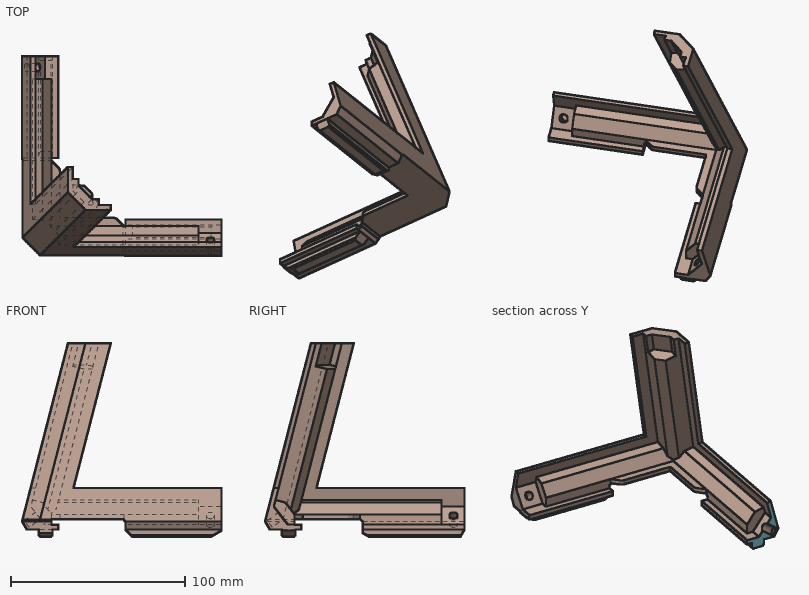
import cadquery as cq
import math

ARM_LENGTH = 114.56
TOTAL_HEIGHT = 111.15
LEAN = 14.45
BEVEL_ANGLE = (90 + LEAN) / 2

WALL_FOOT_Z = 8.9
ARM_TOP_Z = 28.1
WALL_THICKNESS = 2.9
FLANGE_BOTTOM_Z = 4.07
FLANGE_TOP_Z = 7.0
FLANGE_REACH = 20.9
BLOCK_REACH = 17.0
BEVEL_RUN = 5.3
UNDERCUT_ANGLE = 30

RECESS_LENGTH = 13.1
RECESS_FLOOR_Y = 13.1
HOLE_DIAMETER = 4.7
HOLE_DEPTH = 8.0
HOLE_FROM_END = 6.4

CORNER_BOTTOM_Z = 10.0
FOOT_LEAD_IN = 1.3
FOOT_START_X = 59.3
FOOT_START_Y = 56.05

RAIL_OUTER = 9.6
RAIL_WIDTH = 8.0
RAIL_EDGE_CHAMFER = 1.0
RAIL_SLOPE = 30
X_RAIL_NOSE_Z = 3.5
Y_RAIL_HEEL_Z = 2.15

LEG_FLAT = 10.1
LEG_WALL_LENGTH = 24.7
LEG_BLOCK_REACH = 17.8
LEG_BEVEL_RUN = 4.7
LEG_RIDGE_WIDTH = 3.3
LEG_RIDGE_HEIGHT = 3.9
LEG_RECESS_DEPTH = 13.2

WEB_REACH = 21.9
WEB_X_END = 58.6
WEB_Y_END = 54.6
WEB_CORNER_RADIUS = 3.5

LEAN_SLOPE = math.tan(math.radians(LEAN))
BEVEL_SLOPE = math.tan(math.radians(BEVEL_ANGLE))
RAIL_GRADE = math.tan(math.radians(RAIL_SLOPE))
LEG_SHIFT = LEAN_SLOPE * (TOTAL_HEIGHT - WALL_FOOT_Z)
OVERLAP = 1.0


def wall_outer(z):
    return LEAN_SLOPE * (z - WALL_FOOT_Z)


def wall_inner(z):
    return wall_outer(z) + WALL_THICKNESS


ROOT_Y = wall_inner(FLANGE_TOP_Z)


def on_inner_wall(distance):
    """Point (y, z) up the wall's inner face from the root edge."""
    lean = math.radians(LEAN)
    return (ROOT_Y + distance * math.sin(lean), FLANGE_TOP_Z + distance * math.cos(lean))


STEP_ROOT = on_inner_wall(BLOCK_REACH - ROOT_Y)
STEP_Y = BLOCK_REACH - BEVEL_RUN
STEP_EDGE = (STEP_Y, STEP_ROOT[1] - LEAN_SLOPE * (STEP_Y - STEP_ROOT[0]))
BEVEL_FOOT = (BLOCK_REACH, STEP_EDGE[1] - BEVEL_SLOPE * BEVEL_RUN)
RECESS_TOP = on_inner_wall(RECESS_FLOOR_Y - ROOT_Y)
RECESS_FLOOR = (RECESS_FLOOR_Y, FLANGE_TOP_Z)


def along_x(points, start, end):
    """Prism of a (y, z) outline between two X positions."""
    return cq.Workplane("YZ", origin=(start, 0, 0)).polyline(points).close().extrude(end - start)


def along_y(points, start, end):
    """Prism of an (x, z) outline between two Y positions."""
    return cq.Workplane("XZ", origin=(0, end, 0)).polyline(points).close().extrude(end - start)


def along_leg(points, bottom):
    """Prism along the leg up to its top; the (x, y) outline is relative to the walls' meeting edge."""
    foot = LEAN_SLOPE * (bottom - WALL_FOOT_Z)
    rise = TOTAL_HEIGHT - bottom
    wire = cq.Wire.makePolygon([cq.Vector(foot + x, foot + y, bottom) for x, y in points], close=True)
    direction = cq.Vector(LEAN_SLOPE * rise, LEAN_SLOPE * rise, rise)
    return cq.Workplane(cq.Solid.extrudeLinear(cq.Face.makeFromWires(wire), direction))


def mirrored(points):
    """Half outline completed by its reflection across the x = y line."""
    return points + [(y, x) for x, y in reversed(points)]


def swap_xy(body):
    return body.mirror("XZ").rotate((0, 0, 0), (0, 0, 1), 90)


def make_arm_bar():
    undercut = (WALL_FOOT_Z - FLANGE_BOTTOM_Z) * math.tan(math.radians(UNDERCUT_ANGLE))
    return along_x(
        [
            (0, WALL_FOOT_Z),
            (wall_outer(ARM_TOP_Z), ARM_TOP_Z),
            (wall_inner(ARM_TOP_Z), ARM_TOP_Z),
            STEP_ROOT,
            STEP_EDGE,
            BEVEL_FOOT,
            (BLOCK_REACH, FLANGE_TOP_Z),
            (FLANGE_REACH, FLANGE_TOP_Z),
            (FLANGE_REACH, FLANGE_BOTTOM_Z),
            (undercut, FLANGE_BOTTOM_Z),
        ],
        0,
        ARM_LENGTH,
    )


def make_end_recess():
    outline = [RECESS_FLOOR, RECESS_TOP, STEP_ROOT, STEP_EDGE, BEVEL_FOOT, (BLOCK_REACH, FLANGE_TOP_Z)]
    return along_x(outline, ARM_LENGTH - RECESS_LENGTH, ARM_LENGTH)


def make_screw_hole():
    """Blind hole square to the middle of the recess slope."""
    middle_y = (RECESS_FLOOR[0] + RECESS_TOP[0]) / 2
    middle_z = (RECESS_FLOOR[1] + RECESS_TOP[1]) / 2
    angle = math.radians(BEVEL_ANGLE)
    inward = cq.Vector(0, -math.sin(angle), -math.cos(angle))
    centre = cq.Vector(ARM_LENGTH - HOLE_FROM_END, middle_y, middle_z)
    mouth = centre - inward * OVERLAP
    return cq.Workplane(cq.Solid.makeCylinder(HOLE_DIAMETER / 2, HOLE_DEPTH + OVERLAP, mouth, inward))


def make_corner_clearance(foot_start):
    """Space under the corner, ending in a 45 degree step at the foot."""
    outline = [
        (-OVERLAP, 0),
        (foot_start, 0),
        (foot_start, CORNER_BOTTOM_Z - FOOT_LEAD_IN),
        (foot_start - FOOT_LEAD_IN, CORNER_BOTTOM_Z),
        (-OVERLAP, CORNER_BOTTOM_Z),
    ]
    return along_y(outline, -OVERLAP, FLANGE_REACH + OVERLAP)


def make_rail(side_outline):
    """Rail with sloped ends and chamfered lower long edges."""
    outer = RAIL_OUTER
    inner = RAIL_OUTER + RAIL_WIDTH
    section = [
        (outer, FLANGE_BOTTOM_Z),
        (outer, RAIL_EDGE_CHAMFER),
        (outer + RAIL_EDGE_CHAMFER, 0),
        (inner - RAIL_EDGE_CHAMFER, 0),
        (inner, RAIL_EDGE_CHAMFER),
        (inner, FLANGE_BOTTOM_Z),
    ]
    return along_x(section, 0, ARM_LENGTH).intersect(along_y(side_outline, outer, inner))


def make_arm(foot_start, rail_outline):
    arm = make_arm_bar().cut(make_end_recess()).cut(make_screw_hole())
    return arm.cut(make_corner_clearance(foot_start)).union(make_rail(rail_outline))


def make_x_arm():
    rail_outline = [
        (FOOT_START_X, FLANGE_BOTTOM_Z),
        (FOOT_START_X + FLANGE_BOTTOM_Z, 0),
        (ARM_LENGTH - X_RAIL_NOSE_Z / RAIL_GRADE, 0),
        (ARM_LENGTH, X_RAIL_NOSE_Z),
        (ARM_LENGTH, FLANGE_BOTTOM_Z),
    ]
    return make_arm(FOOT_START_X, rail_outline)


def make_y_arm():
    rail_outline = [
        (FOOT_START_Y, FLANGE_BOTTOM_Z),
        (FOOT_START_Y, Y_RAIL_HEEL_Z),
        (FOOT_START_Y + Y_RAIL_HEEL_Z / RAIL_GRADE, 0),
        (ARM_LENGTH - FLANGE_BOTTOM_Z * RAIL_GRADE, 0),
        (ARM_LENGTH, FLANGE_BOTTOM_Z),
    ]
    return swap_xy(make_arm(FOOT_START_Y, rail_outline))


def make_leg():
    bevel_start = LEG_BLOCK_REACH - LEG_BEVEL_RUN
    half_outline = [
        (0, LEG_FLAT),
        (0, LEG_WALL_LENGTH),
        (WALL_THICKNESS, LEG_WALL_LENGTH),
        (WALL_THICKNESS, LEG_BLOCK_REACH),
        (bevel_start, LEG_BLOCK_REACH),
    ]
    return along_leg(mirrored(half_outline), CORNER_BOTTOM_Z).cut(make_leg_recess())


def make_leg_recess():
    """Recess at the leg's top, with a floor square to the leg."""
    ridge_x = WALL_THICKNESS + LEG_RIDGE_WIDTH
    ridge_y = LEG_BLOCK_REACH - LEG_RIDGE_HEIGHT
    outline = [
        (ridge_x, ridge_y),
        (ridge_x, LEG_BLOCK_REACH),
        (LEG_BLOCK_REACH, LEG_BLOCK_REACH),
        (LEG_BLOCK_REACH, ridge_x),
        (ridge_y, ridge_x),
    ]
    recess = along_leg(outline, CORNER_BOTTOM_Z)
    middle = LEG_SHIFT + (ridge_x + ridge_y) / 2
    axis = cq.Vector(LEAN_SLOPE, LEAN_SLOPE, 1).normalized()
    floor_centre = cq.Vector(middle, middle, TOTAL_HEIGHT) - axis * LEG_RECESS_DEPTH
    above_floor = cq.Workplane(cq.Plane(floor_centre, normal=axis)).rect(ARM_LENGTH, ARM_LENGTH)
    return recess.intersect(above_floor.extrude(ARM_LENGTH))


def make_web():
    """Flat gusset plate along both arms, with sloped ends."""
    tip_x = WEB_X_END - (WEB_REACH - BLOCK_REACH)
    tip_y = WEB_Y_END - (WEB_REACH - BLOCK_REACH)
    thickness = BEVEL_FOOT[1] - CORNER_BOTTOM_Z
    outline = [
        (0, 0),
        (WEB_X_END, 0),
        (WEB_X_END, BLOCK_REACH),
        (tip_x, WEB_REACH),
        (WEB_REACH, WEB_REACH),
        (WEB_REACH, tip_y),
        (BLOCK_REACH, WEB_Y_END),
        (0, WEB_Y_END),
    ]
    plate = cq.Workplane("XY", origin=(0, 0, CORNER_BOTTOM_Z)).polyline(outline).close().extrude(thickness)
    for tip in [(tip_x, WEB_REACH), (WEB_REACH, tip_y)]:
        edge = cq.selectors.NearestToPointSelector((tip[0], tip[1], CORNER_BOTTOM_Z + thickness / 2))
        plate = plate.edges("|Z").edges(edge).fillet(WEB_CORNER_RADIUS)
    return plate


def make_envelope():
    """Everything inside the two leaning walls and the flat between them."""
    far = 2 * ARM_LENGTH
    return along_leg([(0, LEG_FLAT), (0, far), (far, far), (far, 0), (LEG_FLAT, 0)], 0)


body = make_x_arm().union(make_y_arm()).union(make_leg()).union(make_web())
result = body.intersect(make_envelope())